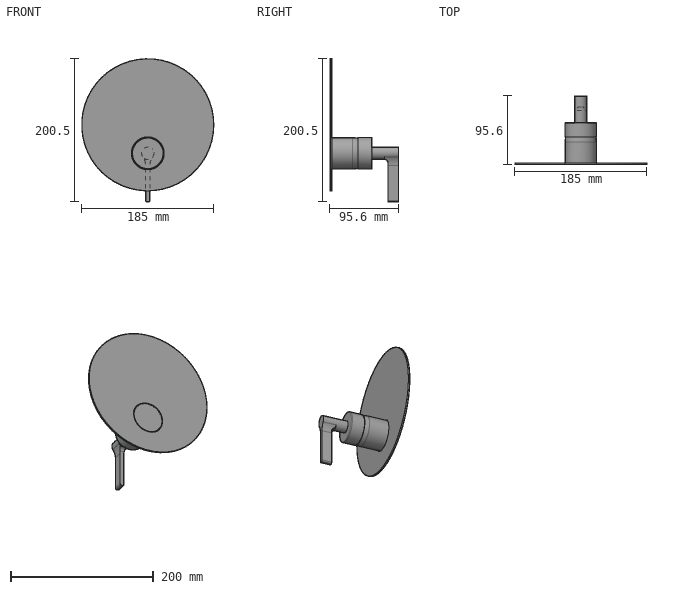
import cadquery as cq
import math


plate_diameter = 185.0
plate_radius = plate_diameter / 2
plate_thickness = 2.5
hole_radius = 22.7

total_height = 200.5
total_depth = 95.6

hub_axis_z = -39.9
sleeve_radius = 22
sleeve_end_y = 31.5
neck_radius = 21.3
neck_end_y = 38.7
cap_radius = 22.3
cap_end_y = 58.5
cap_edge_round = 1.0

stem_radius = 8.6
lever_width = 6.0
lever_thickness = 14.8
lever_bottom_z = plate_radius - total_height
flare_drop = 17.2
tip_round = 2.0
inner_corner_radius = 5.0


def disc(radius, start_y, end_y, centre_z):
    """Solid cylinder along Y."""
    plane = cq.Plane(origin=(0, start_y, centre_z), xDir=(1, 0, 0), normal=(0, 1, 0))
    return cq.Workplane(plane).circle(radius).extrude(end_y - start_y)


def make_plate():
    plate = disc(plate_radius, 0, plate_thickness, 0)
    return plate.cut(disc(hole_radius, 0, plate_thickness, hub_axis_z))


def make_hub():
    """Sleeve, curved neck and rounded cap, revolved about the hub axis."""
    neck_length = neck_end_y - sleeve_end_y
    neck_step = sleeve_radius - neck_radius
    neck_curve = (neck_length**2 + neck_step**2) / (2 * neck_step)
    mid_y = sleeve_end_y + neck_length / 2
    mid_radius = sleeve_radius - neck_curve + math.sqrt(neck_curve**2 - (neck_length / 2)**2)
    profile = (
        cq.Workplane("XY")
        .lineTo(sleeve_radius, 0)
        .lineTo(sleeve_radius, sleeve_end_y)
        .threePointArc((mid_radius, mid_y), (neck_radius, neck_end_y))
        .lineTo(cap_radius, neck_end_y)
        .lineTo(cap_radius, cap_end_y)
        .lineTo(0, cap_end_y)
        .close()
    )
    hub = profile.revolve(360, (0, 0, 0), (0, 1, 0))
    hub = hub.faces(">Y").edges().fillet(cap_edge_round)
    return hub.translate((0, 0, hub_axis_z))


def make_lever():
    """Flared lever: its outline across X and its side profile, intersected."""
    half_width = lever_width / 2
    flare_radius = (half_width**2 + flare_drop**2 - stem_radius**2) / (2 * (stem_radius - half_width))
    flare_x = half_width + flare_radius
    flare_z = hub_axis_z - flare_drop
    stem_share = stem_radius / (stem_radius + flare_radius)
    touch_x = flare_x * stem_share
    touch_z = hub_axis_z - flare_drop * stem_share
    mid_angle = (math.pi + math.atan2(flare_drop, -flare_x)) / 2
    mid_x = flare_x + flare_radius * math.cos(mid_angle)
    mid_z = flare_z + flare_radius * math.sin(mid_angle)
    outline = (
        cq.Workplane("XZ")
        .moveTo(-touch_x, touch_z)
        .threePointArc((-mid_x, mid_z), (-half_width, flare_z))
        .lineTo(-half_width, lever_bottom_z)
        .lineTo(half_width, lever_bottom_z)
        .lineTo(half_width, flare_z)
        .threePointArc((mid_x, mid_z), (touch_x, touch_z))
        .lineTo(0, hub_axis_z)
        .close()
        .extrude(-total_depth)
    )
    outline = outline.faces("<Z").edges("|Y").fillet(tip_round)

    inner_y = total_depth - lever_thickness
    stem_bottom_z = hub_axis_z - stem_radius
    side = (
        cq.Workplane("YZ")
        .moveTo(total_depth, lever_bottom_z)
        .lineTo(total_depth, hub_axis_z)
        .lineTo(inner_y - inner_corner_radius, hub_axis_z)
        .lineTo(inner_y - inner_corner_radius, stem_bottom_z)
        .radiusArc((inner_y, stem_bottom_z - inner_corner_radius), inner_corner_radius)
        .lineTo(inner_y, lever_bottom_z)
        .close()
        .extrude(lever_width + stem_radius, both=True)
    )
    return outline.intersect(side)


def make_handle_unit():
    stem = disc(stem_radius, cap_end_y, total_depth, hub_axis_z)
    return make_hub().union(stem).union(make_lever())


plate = make_plate()
handle_unit = make_handle_unit()

result = cq.Compound.makeCompound([plate.val(), handle_unit.val()])